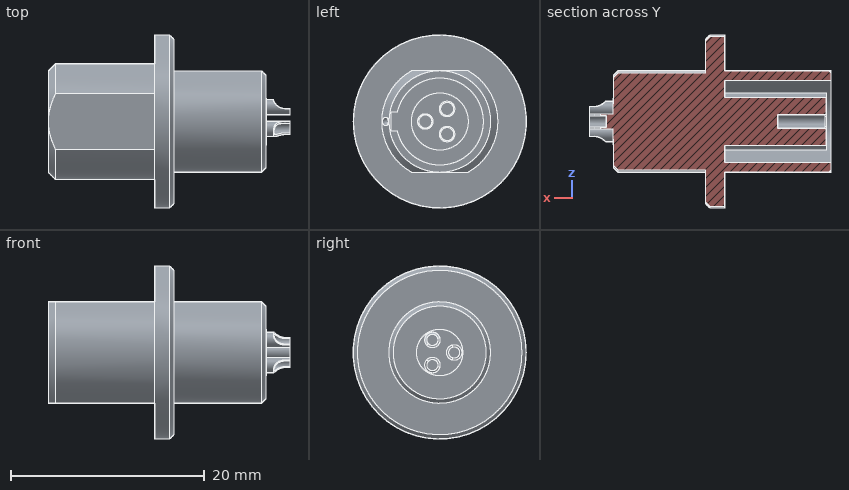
import cadquery as cq
import math

flange_start = 11.0
flange_end = 13.0
rear_end = 22.5
insulator_end = 22.58
total_length = 25.0

front_radius = 6.0
flat_half_width = 5.25
front_chamfer = 0.75
flange_radius = 8.95
rear_radius = 5.25
edge_chamfer = 0.45

bore_radius = 4.5
bore_depth = flange_start
keyway_half_width = 1.0
keyway_reach = 5.02
core_radius = 2.95
core_recess = 0.5
insulator_radius = 2.4

dimple_radius = 0.42

contact_angles = (0, 120, 240)
contact_circle_radius = 1.5
contact_radius = 0.8
contact_hole_radius = 0.68
contact_hole_depth = 5.0
cup_start = 23.25
cup_bore_radius = 0.58
scoop_radius = 1.25
scoop_below_centre = 0.15


def rod(radius, start, end, y=0.0):
    """Round bar parallel to X."""
    return cq.Workplane("YZ", origin=(start, y, 0)).circle(radius).extrude(end - start)


def around_axis(shape, angle):
    return shape.rotate((0, 0, 0), (1, 0, 0), angle)


def make_shell():
    front = rod(front_radius, 0, flange_start).faces("<X").chamfer(front_chamfer)
    flats = cq.Workplane("XY").box(
        flange_start, 2 * front_radius, 2 * flat_half_width, centered=(False, True, True)
    )
    flange = rod(flange_radius, flange_start, flange_end).faces(">X").chamfer(edge_chamfer)
    rear = rod(rear_radius, flange_end, rear_end).faces(">X").chamfer(edge_chamfer)
    return front.intersect(flats).union(flange).union(rear)


def make_socket_cavity():
    """Annular bore with a keyway on the +Y side."""
    keyway = cq.Workplane("XY").box(
        bore_depth, keyway_reach, 2 * keyway_half_width, centered=(False, False, True)
    )
    core = rod(core_radius, core_recess, bore_depth)
    return rod(bore_radius, 0, bore_depth).union(keyway).cut(core)


def make_dimple():
    """Ball centred halfway up the front chamfer on the +Y side."""
    return cq.Workplane("XY").sphere(dimple_radius).translate(
        (front_chamfer / 2, front_radius - front_chamfer / 2, 0)
    )


def make_contact_hole():
    """Blind contact hole with a chamfered mouth, on the +Y side."""
    hole = rod(contact_hole_radius, core_recess, core_recess + contact_hole_depth, contact_circle_radius)
    mouth_depth = contact_radius - contact_hole_radius
    mouth = (
        cq.Workplane("YZ", origin=(core_recess, contact_circle_radius, 0))
        .circle(contact_radius)
        .workplane(offset=mouth_depth)
        .circle(contact_hole_radius)
        .loft()
    )
    return hole.union(mouth)


def make_solder_cup():
    """Hollow contact tail whose outward side is scooped away past its centre plane."""
    tail = rod(contact_radius, rear_end, total_length, contact_circle_radius)
    cup_bore = rod(cup_bore_radius, cup_start, total_length, contact_circle_radius)
    scoop_floor = contact_circle_radius - scoop_below_centre
    rise = contact_radius + scoop_below_centre
    run = math.sqrt(scoop_radius**2 - (scoop_radius - rise) ** 2)
    arc_end = cup_start + run
    half_angle = math.asin(run / scoop_radius) / 2
    arc_middle = (
        arc_end - scoop_radius * math.sin(half_angle),
        scoop_floor + scoop_radius * (1 - math.cos(half_angle)),
    )
    scoop = (
        cq.Workplane("XY")
        .moveTo(cup_start, scoop_floor + rise)
        .threePointArc(arc_middle, (arc_end, scoop_floor))
        .lineTo(total_length, scoop_floor)
        .lineTo(total_length, scoop_floor + rise)
        .close()
        .extrude(contact_radius, both=True)
    )
    return tail.cut(cup_bore).cut(scoop)


result = make_shell().cut(make_socket_cavity()).cut(make_dimple())
result = result.union(rod(insulator_radius, rear_end, insulator_end))
for angle in contact_angles:
    result = result.cut(around_axis(make_contact_hole(), angle))
    result = result.union(around_axis(make_solder_cup(), angle))